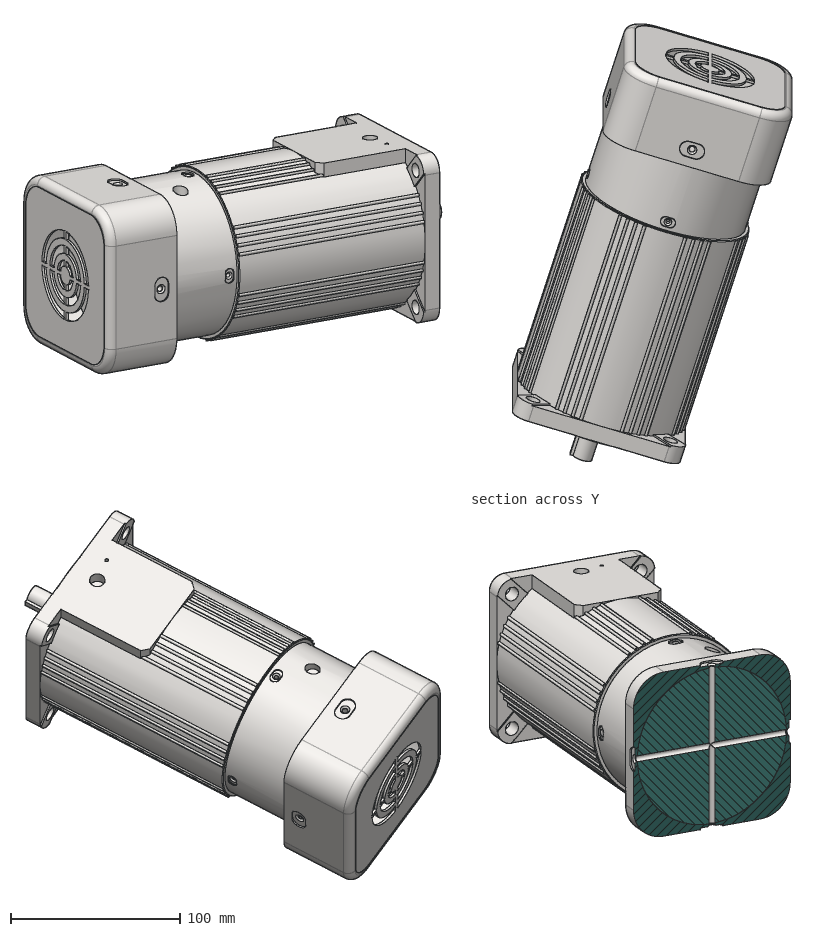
import cadquery as cq
import math

shaft_length = 28.0
pilot_height = 2.0
flange_thickness = 10.0
gearhead_length = 137.0
motor_exposed_length = 42.5
cover_length = 46.5

frame_size = 104.0
half_frame = frame_size / 2

shaft_radius = 6.0
key_width = 4.0
key_length = 25.0
key_top = 7.5

flange_corner_radius = 10.0
pilot_radius = 47.0
corner_pad_height = 1.0
corner_pad_width = 12.8
mount_hole_diameter = 8.5
mount_hole_offset = 42.5

body_radius = half_frame
ridge_radius = 1.0
ridge_count = 4
first_ridge_angle = 14.0
ridge_pitch_angle = 6.0
end_bevel = 0.5

terminal_width = 57.5
terminal_end = 69.5
terminal_chamfer = 4.0
terminal_root = 35.0
plug_diameter = 9.0
plug_position = 17.5
plug_depth = 8.0
vent_diameter = 2.0
vent_offset = 15.0
vent_position = 14.7
vent_depth = 4.0

motor_radius = 49.5
motor_cover_overlap = 15.0
motor_front = -gearhead_length
cover_front = motor_front - motor_exposed_length
motor_rear = cover_front - motor_cover_overlap
motor_screw_position = motor_front - 5.0
motor_slot_length = 9.0
motor_slot_width = 6.0
motor_slot_depth = 1.0
motor_screw_diameter = 2.5
motor_sink_diameter = 4.5
motor_screw_depth = 6.0
cable_hole_diameter = 9.0
cable_hole_offset = 17.0
cable_hole_position = motor_front - 19.7
cable_hole_depth = 10.0

cover_rear = cover_front - cover_length
cover_corner_radius = 20.0
cover_edge_radius = 5.0
panel_rim_width = 0.7
panel_recess = 0.3
panel_corner_radius = 16.0
cover_screw_position = cover_front - 10.3
cover_slot_length = 15.0
cover_slot_width = 9.5
cover_slot_depth = 1.0
cover_screw_diameter = 3.5
cover_sink_diameter = 5.6
grille_thickness = 1.5
grille_bar_width = 2.4
grille_rings = [(5.7, 9.2), (13.3, 18.2), (22.5, 27.5)]


def section(y):
    """Workplane across the drive axis at height y; local X is X, local Y is Z, extrusions run to -Y."""
    return cq.Workplane("XZ", origin=(0, y, 0))


def disc(radius, y_start, y_end):
    return section(y_start).circle(radius).extrude(y_start - y_end)


def rounded_block(corner_radius, y_start, y_end):
    block = section(y_start).rect(frame_size, frame_size).extrude(y_start - y_end)
    return block.edges("|Y").fillet(corner_radius)


def turned(shape, angle):
    """The shape turned about the drive axis."""
    return shape.rotate((0, 0, 0), (0, 1, 0), angle)


def hole_down(x, y, z_top, diameter, depth):
    return cq.Workplane("XY", origin=(x, y, z_top)).circle(diameter / 2).extrude(-depth)


def screw_seat(y, surface, slot_size, slot_depth, sink_diameter, screw_diameter, screw_depth):
    """Cutter for a slot at the top of a body with a countersunk screw hole in its floor."""
    length, width = slot_size
    floor = surface - slot_depth
    slot = cq.Workplane("XY", origin=(0, y, surface)).slot2D(length, width).extrude(-slot_depth)
    sink_depth = (sink_diameter - screw_diameter) / 2
    sink = cq.Workplane("XY", origin=(0, y, floor)).circle(sink_diameter / 2).extrude(-sink_depth, taper=45)
    return slot.union(sink).union(hole_down(0, y, surface, screw_diameter, screw_depth))


def make_shaft():
    shaft = disc(shaft_radius, shaft_length, 0)
    key = cq.Workplane("XY").box(key_top, key_length, key_width, centered=(False, False, True))
    return shaft.union(key.translate((-key_top, shaft_length - key_length, 0)))


def make_flange():
    flange = rounded_block(flange_corner_radius, 0, -flange_thickness)
    flange = flange.union(disc(pilot_radius, pilot_height, 0))
    pad_rear = -flange_thickness - corner_pad_height
    pad_outline = rounded_block(flange_corner_radius, -flange_thickness, pad_rear)
    bands = section(-flange_thickness).rect(2 * frame_size, corner_pad_width).extrude(corner_pad_height)
    for angle in (45, -45):
        flange = flange.union(pad_outline.intersect(turned(bands, angle)))
    return flange


def mount_holes():
    spacing = 2 * mount_hole_offset
    length = flange_thickness + corner_pad_height
    return section(0).rarray(spacing, spacing, 2, 2).circle(mount_hole_diameter / 2).extrude(length)


def make_ridged_body():
    """Round body with four half-round ridges on either side of the X and Z directions."""
    body = disc(body_radius, -flange_thickness, -gearhead_length)
    body = body.faces("<Y").chamfer(end_bevel)
    angles = [first_ridge_angle + i * ridge_pitch_angle for i in range(ridge_count)]
    points = []
    for quarter in range(4):
        for angle in angles:
            for side in (-1, 1):
                direction = math.radians(90 * quarter + side * angle)
                points.append((body_radius * math.cos(direction), body_radius * math.sin(direction)))
    ridge_length = gearhead_length - flange_thickness - end_bevel
    ridges = section(-flange_thickness).pushPoints(points).circle(ridge_radius).extrude(ridge_length)
    return body.union(ridges)


def make_terminal_pad():
    pad = cq.Workplane("XY").box(
        terminal_width, terminal_end, half_frame - terminal_root, centered=(True, False, False)
    )
    pad = pad.edges("|Z and <Y").chamfer(terminal_chamfer)
    return pad.translate((0, -terminal_end, terminal_root))


def make_gearhead():
    gearhead = make_flange().union(make_ridged_body()).union(make_terminal_pad()).union(make_shaft())
    gearhead = gearhead.cut(mount_holes())
    gearhead = gearhead.cut(hole_down(0, -plug_position, half_frame, plug_diameter, plug_depth))
    return gearhead.cut(hole_down(vent_offset, -vent_position, half_frame, vent_diameter, vent_depth))


def make_motor():
    motor = disc(motor_radius, motor_front, motor_rear)
    seat = screw_seat(
        motor_screw_position,
        motor_radius,
        (motor_slot_length, motor_slot_width),
        motor_slot_depth,
        motor_sink_diameter,
        motor_screw_diameter,
        motor_screw_depth,
    )
    for quarter in range(4):
        motor = motor.cut(turned(seat, 90 * quarter))
    cable_hole = hole_down(
        cable_hole_offset, cable_hole_position, motor_radius, cable_hole_diameter, cable_hole_depth
    )
    motor = motor.cut(cable_hole)
    cover_screw_hole = hole_down(0, cover_screw_position, half_frame, cover_screw_diameter, frame_size)
    return motor.cut(cover_screw_hole).cut(turned(cover_screw_hole, 90))


def make_grille():
    """Slots through the rear wall: rings broken by a cross of two bars."""
    wall_front = cover_rear + panel_recess + grille_thickness
    slots = cq.Workplane("XZ")
    for inner, outer in grille_rings:
        slots = slots.union(section(wall_front).circle(outer).circle(inner).extrude(grille_thickness))
    bar = section(wall_front).rect(frame_size, grille_bar_width).extrude(grille_thickness)
    return slots.cut(bar).cut(turned(bar, 90))


def make_panel_recess():
    """Shallow recess of the rear panel, leaving a narrow flat rim inside the rounded edge."""
    inset = cover_edge_radius + panel_rim_width
    panel_size = frame_size - 2 * inset
    panel = section(cover_rear + panel_recess).rect(panel_size, panel_size).extrude(panel_recess)
    return panel.edges("|Y").fillet(panel_corner_radius)


def make_fan_cover():
    cover = rounded_block(cover_corner_radius, cover_front, cover_rear)
    cover = cover.faces("<Y").edges().fillet(cover_edge_radius)
    cover = cover.cut(make_panel_recess())
    chamber_rear = cover_rear + panel_recess + grille_thickness
    cover = cover.cut(disc(motor_radius, cover_front, chamber_rear))
    cover = cover.cut(make_grille())
    seat = screw_seat(
        cover_screw_position,
        half_frame,
        (cover_slot_length, cover_slot_width),
        cover_slot_depth,
        cover_sink_diameter,
        cover_screw_diameter,
        half_frame,
    )
    for quarter in range(4):
        cover = cover.cut(turned(seat, 90 * quarter))
    return cover


gearhead = make_gearhead()
motor = make_motor()
fan_cover = make_fan_cover()

result = cq.Compound.makeCompound([gearhead.val(), motor.val(), fan_cover.val()])